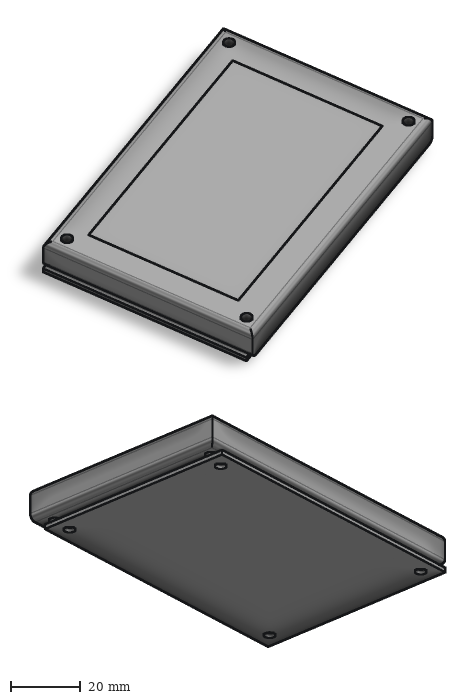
import cadquery as cq

case_width = 70.0
case_length = 100.0
case_height = 9.9
rim_radius = 2.0

panel_width = 50.0
panel_length = 80.0
panel_depth = 0.1
panel_center = (-0.5, -0.5)

screw_diameter = 3.4
hole_inset = 5.0

plate_width = 68.0
plate_length = 96.0
plate_thickness = 1.5
plate_gap = 0.57
plate_front_overhang = 0.13


def drill_corner_holes(body, width, length):
    """Cut one screw hole through the body near each corner of its top face."""
    return (
        body.faces(">Z")
        .workplane(centerOption="CenterOfBoundBox")
        .rarray(width - 2 * hole_inset, length - 2 * hole_inset, 2, 2)
        .hole(screw_diameter)
    )


def make_case():
    block = cq.Workplane("XY").box(case_width, case_length, case_height, centered=(True, True, False))
    block = block.edges(">Z or (<Z and (not >X))").fillet(rim_radius)
    block = drill_corner_holes(block, case_width, case_length)
    panel_recess = (
        cq.Workplane("XY", origin=(*panel_center, case_height))
        .rect(panel_width, panel_length)
        .extrude(-panel_depth)
    )
    return block.cut(panel_recess)


def make_back_plate():
    left = -case_width / 2
    front = -case_length / 2 - plate_front_overhang
    bottom = -plate_gap - plate_thickness
    plate = (
        cq.Workplane("XY")
        .box(plate_width, plate_length, plate_thickness, centered=False)
        .translate((left, front, bottom))
    )
    return drill_corner_holes(plate, plate_width, plate_length)


case = make_case()
back_plate = make_back_plate()

result = cq.Compound.makeCompound([case.val(), back_plate.val()])